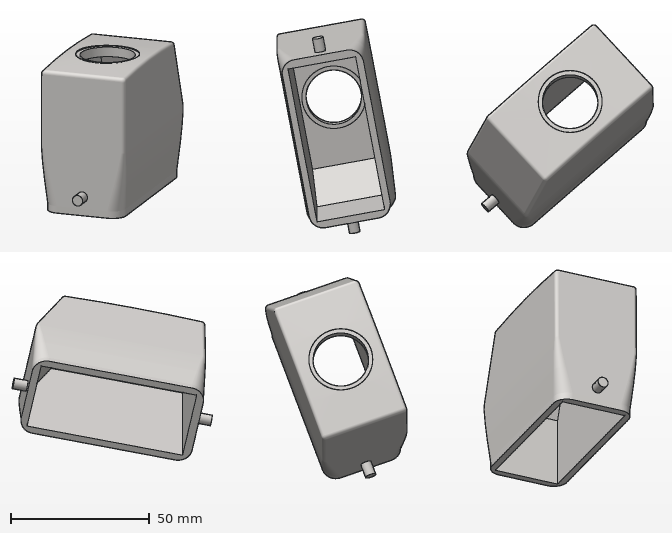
import cadquery as cq
import math

overall_length = 73.0
base_length = 63.1
base_width = 29.8
body_width = 32.5
crest_height = 53.7

rim_height = 2.55
flare_height = 12.5
shoulder_height = 24.7

end_wall_lean = 0.01
base_corner_radius = 5.2
edge_radius = 1.3
front_edge_radius = 1.45
bend_radius = 8.75
rear_top_y = 21.45
eave_height = 52.7
bend_height = 26.4

side_wall = 2.5
roof_thickness = 4.0

entry_y = -4.8
ring_outer_radius = 11.5
ring_inner_radius = 10.0
ring_recess = 0.45

peg_radius = 2.0
peg_height = 7.0

half_body_width = body_width / 2
half_base_width = base_width / 2
half_base_length = base_length / 2
skirt_height = shoulder_height - rim_height
half_shoulder_length = half_base_length - end_wall_lean * skirt_height
front_top_y = -(half_base_length - end_wall_lean * (eave_height - rim_height))
curve_height = shoulder_height - flare_height
flare_slope = (half_body_width - half_base_width) / (skirt_height - curve_height / 2)
curve_factor = flare_slope / (2 * curve_height)
slope_angle = math.atan2(half_shoulder_length - rear_top_y, eave_height - bend_height)
cavity_roof = crest_height - roof_thickness
curve_steps = 4


def half_width_at(z):
    if z <= flare_height:
        return half_base_width + flare_slope * (z - rim_height)
    return half_body_width - curve_factor * (shoulder_height - z) ** 2


def skirt_section(z):
    """Rounded rectangle of the skirt at height z; its corners tighten upward."""
    rise = (z - rim_height) / skirt_height
    length = base_length - 2 * end_wall_lean * (z - rim_height)
    radius = base_corner_radius + (edge_radius - base_corner_radius) * rise
    sketch = cq.Sketch().rect(2 * half_width_at(z), length).vertices().fillet(radius)
    return sketch.moved(cq.Location(cq.Vector(0, 0, z)))


def loft_skirt(heights, ruled):
    sections = [skirt_section(z) for z in heights]
    return cq.Workplane("XY").placeSketch(*sections).loft(ruled=ruled)


def make_rim():
    outline = cq.Sketch().rect(base_width, base_length).vertices().fillet(base_corner_radius)
    return cq.Workplane("XY").placeSketch(outline).extrude(rim_height)


def make_upper_shell():
    """Block above the shoulder: sloping rear wall, gently arched top, rounded edges."""
    profile = (
        cq.Workplane("YZ")
        .workplane(offset=-half_body_width)
        .moveTo(-half_shoulder_length, shoulder_height)
        .lineTo(front_top_y, eave_height)
        .threePointArc((entry_y, crest_height), (rear_top_y, eave_height))
        .lineTo(half_shoulder_length, bend_height)
        .lineTo(half_shoulder_length, shoulder_height)
        .close()
    )
    block = profile.extrude(body_width)

    def cross_edge(y, z):
        return cq.selectors.NearestToPointSelector((0, y, z))

    block = block.edges(cross_edge(half_shoulder_length, bend_height)).fillet(bend_radius)
    block = block.edges(cross_edge(front_top_y, eave_height)).fillet(front_edge_radius)
    block = block.edges(cross_edge(rear_top_y, eave_height)).fillet(edge_radius)
    return block.faces("<X or >X").edges("not <Z").fillet(edge_radius)


def make_cavity():
    """Open-bottomed space inside the hood, parallel to the outer walls."""
    front_y = front_top_y + side_wall
    rear_y = half_shoulder_length - side_wall
    inner_bend_height = bend_height - side_wall * math.tan(slope_angle / 2)
    roof_rear_y = rear_y - (cavity_roof - inner_bend_height) * math.tan(slope_angle)
    half_width = half_base_width - side_wall
    return (
        cq.Workplane("YZ")
        .workplane(offset=-half_width)
        .polyline([
            (front_y, 0),
            (front_y, cavity_roof),
            (roof_rear_y, cavity_roof),
            (rear_y, inner_bend_height),
            (rear_y, 0),
        ])
        .close()
        .extrude(2 * half_width)
    )


def make_entry_hole():
    """Hole through the roof that receives the entry ring, carried clear of the arched top."""
    return (
        cq.Workplane("XY")
        .workplane(offset=cavity_roof)
        .center(0, entry_y)
        .circle(ring_outer_radius)
        .extrude(2 * roof_thickness)
    )


def make_peg(direction):
    """Locking peg on one end wall, rooted inside that wall; direction is +1 or -1 along Y."""
    root_y = half_base_length - side_wall / 2
    return (
        cq.Workplane("XZ", origin=(0, direction * root_y, peg_height))
        .circle(peg_radius)
        .extrude(-direction * (overall_length / 2 - root_y))
    )


def make_housing():
    curve_heights = [flare_height + curve_height * step / curve_steps for step in range(curve_steps + 1)]
    shell = (
        make_rim()
        .union(loft_skirt([rim_height, flare_height], ruled=True))
        .union(loft_skirt(curve_heights, ruled=False))
        .union(make_upper_shell())
        .cut(make_cavity())
        .cut(make_entry_hole())
    )
    for direction in (-1, 1):
        shell = shell.union(make_peg(direction))
    return shell


def make_entry_ring():
    """Flat-faced ring lining the cable entry."""
    return (
        cq.Workplane("XY")
        .workplane(offset=cavity_roof)
        .center(0, entry_y)
        .circle(ring_outer_radius)
        .circle(ring_inner_radius)
        .extrude(roof_thickness - ring_recess)
    )


housing = make_housing()
entry_ring = make_entry_ring()

result = cq.Compound.makeCompound([housing.val(), entry_ring.val()])